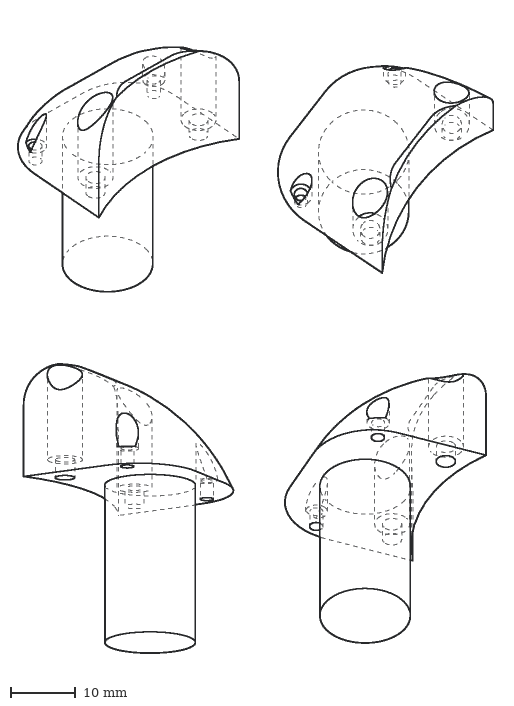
import cadquery as cq
import math

total_height = 43.85
head_length = 24.8
head_width = 29.25
head_height = 18.85

peg_diameter = 14.0
peg_center_x = 10.65
peg_length = total_height - head_height

corner_radius = 10.0
turn_axis_x = 34.2
turn_axis_z = -16.3
turn_angle = 65.0

rear_hollow_depth = 3.95
half_width = head_width / 2
rear_hollow_radius = (half_width**2 + rear_hollow_depth**2) / (2 * rear_hollow_depth)

front_screw = (7.65, 12.33, 2.0, 3.4)
rear_screw = (19.65, 10.75, 3.0, 5.4)
screw_seat_z = 2.9


def make_curved_blank():
    """Turn the base outline so its front edge and corners sweep back as arcs."""
    corner_y = half_width - corner_radius
    corner_mid = corner_radius * (1 - math.sqrt(0.5))
    outline = (
        cq.Workplane("XY")
        .moveTo(head_length, -half_width)
        .lineTo(corner_radius, -half_width)
        .threePointArc((corner_mid, corner_mid - half_width), (0, -corner_y))
        .lineTo(0, corner_y)
        .threePointArc((corner_mid, half_width - corner_mid), (corner_radius, half_width))
        .lineTo(head_length, half_width)
        .close()
        .wire()
        .val()
    )
    axis_start = cq.Vector(turn_axis_x, 0, turn_axis_z)
    axis_end = cq.Vector(turn_axis_x, 0.45, turn_axis_z)
    return cq.Workplane(cq.Solid.revolve(outline, [], turn_angle, axis_start, axis_end))


def make_head():
    """Trim the curved blank to the head's length and height, then hollow its rear."""
    envelope = cq.Workplane("XY").box(
        head_length, head_width, head_height, centered=(False, True, False)
    )
    rear_hollow = (
        cq.Workplane("XY")
        .center(head_length - rear_hollow_depth + rear_hollow_radius, 0)
        .circle(rear_hollow_radius)
        .extrude(head_height)
    )
    return make_curved_blank().intersect(envelope).cut(rear_hollow)


def make_screw_cutter(x, y, hole_diameter, seat_diameter):
    """Through hole with a counterbore open to the top."""
    hole = cq.Workplane("XY").center(x, y).circle(hole_diameter / 2).extrude(head_height)
    counterbore = (
        cq.Workplane("XY", origin=(0, 0, screw_seat_z))
        .center(x, y)
        .circle(seat_diameter / 2)
        .extrude(head_height - screw_seat_z)
    )
    return hole.union(counterbore)


peg = cq.Workplane("XY").center(peg_center_x, 0).circle(peg_diameter / 2).extrude(-peg_length)
result = make_head().union(peg)
for x, y, hole_diameter, seat_diameter in (front_screw, rear_screw):
    for side in (-1, 1):
        result = result.cut(make_screw_cutter(x, side * y, hole_diameter, seat_diameter))